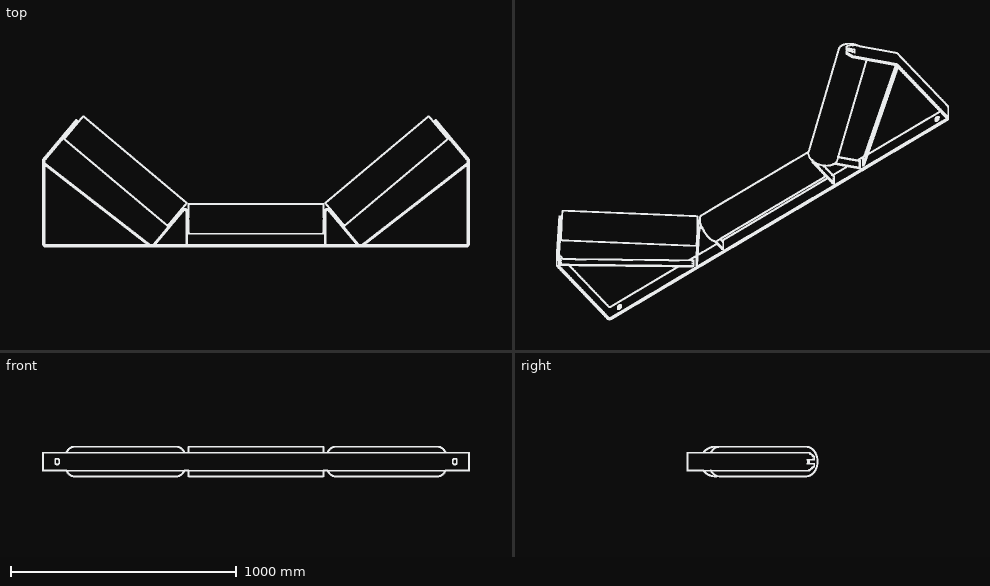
import cadquery as cq
import math

frame_length = 1890.0
frame_width = 80.0
frame_thickness = 8.0
frame_inside_radius = 5.0

roller_diameter = 133.0
roller_length = 600.0
roller_rim_radius = 4.0
trough_angle = 40.0
centre_roller_y = 124.0
wing_roller_x = 579.0
wing_roller_y = 335.77

tenon_width = 18.0
tenon_height = 10.0
roller_gap = 5.0

arm_reach = 33.0
tip_taper_depth = 18.0
tip_taper_length = 28.0

bracket_width = 50.0
bracket_thickness = 5.0
bracket_inside_radius = 6.0

brace_width = 40.0
brace_thickness = 5.0
brace_foot_x = 470.0
brace_top_y = 370.0

mount_slot_spacing = 1764.0
mount_slot_width = 18.0
mount_slot_height = 27.0

trough = math.radians(trough_angle)
centre_axis = cq.Vector(1, 0)
wing_axis = cq.Vector(math.cos(trough), math.sin(trough))
strip_up = cq.Vector(-math.sin(trough), math.cos(trough))

centre_middle = cq.Vector(0, centre_roller_y)
centre_end = centre_middle + centre_axis * (roller_length / 2)
wing_middle = cq.Vector(wing_roller_x, wing_roller_y)
wing_outer_end = wing_middle + wing_axis * (roller_length / 2)
wing_inner_end = wing_middle - wing_axis * (roller_length / 2)

upright_inner_x = frame_length / 2 - frame_thickness


def point_at_x(start, direction, x):
    """Point at the given X on the line through start."""
    return start + direction * ((x - start.x) / direction.x)


def point_at_y(start, direction, y):
    """Point at the given Y on the line through start."""
    return start + direction * ((y - start.y) / direction.y)


def mirrored(point):
    return cq.Vector(-point.x, point.y)


def strip(outline, width):
    """Outline in XY, extruded evenly to both sides of Z = 0."""
    points = [(p.x, p.y) for p in outline]
    return cq.Workplane("XY").polyline(points).close().extrude(width / 2, both=True)


def round_bend(body, corner, radius):
    """Round the Z edge that stands at a corner of a strip."""
    nearest = cq.selectors.NearestToPointSelector((corner.x, corner.y, 0))
    return body.edges("|Z").edges(nearest).fillet(radius)


def cross_section(origin, normal):
    """Workplane across a roller axis, with its local X along -Z."""
    return cq.Workplane(cq.Plane(origin=origin.toTuple(), xDir=(0, 0, -1), normal=normal.toTuple()))


def shaft_tenon(roller_end, direction, support_thickness):
    """Flat tenon from a roller end to the far face of the strip that carries it."""
    section = cross_section(roller_end, direction).rect(tenon_width, tenon_height)
    return section.extrude(roller_gap + support_thickness)


def arm_tip_cuts(arm_inner):
    """Two tapered corners and the open shaft slot at the tip of the +X arm."""
    half_width = frame_width / 2
    corner_points = [
        (half_width, arm_reach),
        (half_width - tip_taper_depth, arm_reach),
        (half_width, arm_reach - tip_taper_length),
    ]
    corner = cross_section(arm_inner, wing_axis).polyline(corner_points).close().extrude(frame_thickness)
    slot_floor = -tenon_height / 2
    slot = (
        cross_section(arm_inner, wing_axis)
        .center(0, (arm_reach + slot_floor) / 2)
        .rect(tenon_width, arm_reach - slot_floor)
        .extrude(frame_thickness)
    )
    return [corner, corner.mirror("XY"), slot]


def mount_slots():
    half_spacing = mount_slot_spacing / 2
    return (
        cq.Workplane("XZ")
        .pushPoints([(-half_spacing, 0), (half_spacing, 0)])
        .slot2D(mount_slot_height, mount_slot_width, 90)
        .extrude(-frame_thickness)
    )


def make_frame():
    arm_inner = wing_outer_end + wing_axis * roller_gap
    arm_outer = arm_inner + wing_axis * frame_thickness
    foot_outer = cq.Vector(frame_length / 2, 0)
    foot_inner = cq.Vector(upright_inner_x, frame_thickness)
    elbow_outer = point_at_x(arm_outer, strip_up, foot_outer.x)
    elbow_inner = point_at_x(arm_inner, strip_up, foot_inner.x)
    tip_outer = arm_outer + strip_up * arm_reach
    tip_inner = arm_inner + strip_up * arm_reach

    right_side = [foot_outer, elbow_outer, tip_outer, tip_inner, elbow_inner, foot_inner]
    left_side = [mirrored(point) for point in reversed(right_side)]
    body = strip(right_side + left_side, frame_width)
    for outer, inner in ((foot_outer, foot_inner), (elbow_outer, elbow_inner)):
        body = round_bend(body, outer, frame_inside_radius + frame_thickness)
        body = round_bend(body, mirrored(outer), frame_inside_radius + frame_thickness)
        body = round_bend(body, inner, frame_inside_radius)
        body = round_bend(body, mirrored(inner), frame_inside_radius)
    for cut in arm_tip_cuts(arm_inner):
        body = body.cut(cut).cut(cut.mirror("YZ"))
    return body.cut(mount_slots())


def make_bracket():
    post_inner_x = centre_end.x + roller_gap
    post_outer_x = post_inner_x + bracket_thickness
    leg_top = wing_inner_end - wing_axis * roller_gap
    leg_under = leg_top - wing_axis * bracket_thickness
    bend_outer = point_at_x(leg_top, strip_up, post_inner_x)
    bend_inner = point_at_x(leg_under, strip_up, post_outer_x)
    outline = [
        cq.Vector(post_inner_x, frame_thickness),
        bend_outer,
        point_at_y(leg_top, strip_up, frame_thickness),
        point_at_y(leg_under, strip_up, frame_thickness),
        bend_inner,
        cq.Vector(post_outer_x, frame_thickness),
    ]
    body = strip(outline, bracket_width)
    body = round_bend(body, bend_outer, bracket_inside_radius + bracket_thickness)
    body = round_bend(body, bend_inner, bracket_inside_radius)
    body = body.cut(shaft_tenon(centre_end, centre_axis, bracket_thickness))
    return body.cut(shaft_tenon(wing_inner_end, wing_axis * -1, bracket_thickness))


def make_brace():
    foot = cq.Vector(brace_foot_x, frame_thickness)
    top = cq.Vector(upright_inner_x, brace_top_y)
    run = (top - foot).normalized()
    under = foot + cq.Vector(run.y, -run.x) * brace_thickness
    outline = [
        foot,
        top,
        point_at_x(under, run, upright_inner_x),
        point_at_y(under, run, frame_thickness),
    ]
    return strip(outline, brace_width)


def make_roller(middle, axis, start_support, end_support):
    """Roller with rounded rims and a tenon at each end, sized for the strip thickness there."""
    start = middle - axis * (roller_length / 2)
    end = middle + axis * (roller_length / 2)
    drum = cross_section(start, axis).circle(roller_diameter / 2).extrude(roller_length)
    drum = drum.edges().fillet(roller_rim_radius)
    drum = drum.union(shaft_tenon(start, axis * -1, start_support))
    return drum.union(shaft_tenon(end, axis, end_support))


frame = make_frame()
centre_roller = make_roller(centre_middle, centre_axis, bracket_thickness, bracket_thickness)
wing_roller = make_roller(wing_middle, wing_axis, bracket_thickness, frame_thickness)
bracket = make_bracket()
brace = make_brace()

bodies = [frame.val(), centre_roller.val()]
for right_body in (wing_roller, bracket, brace):
    bodies.append(right_body.val())
    bodies.append(right_body.mirror("YZ").val())

result = cq.Compound.makeCompound(bodies)